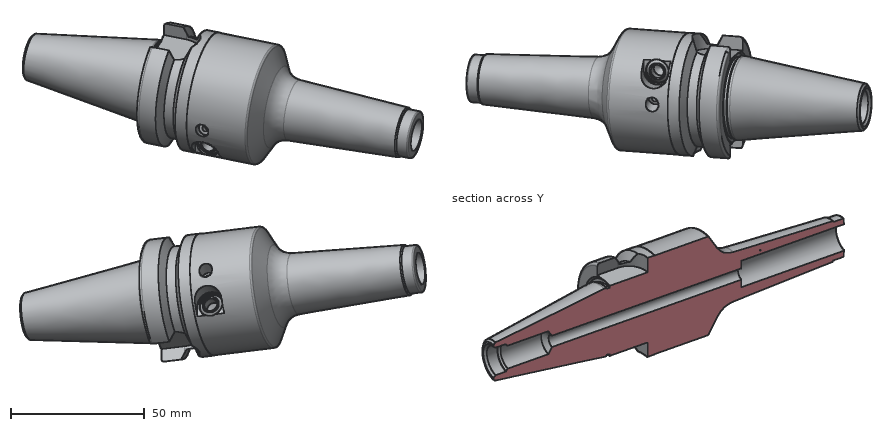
import cadquery as cq
import math


taper_length = 48.4
gauge_diameter = 31.75
taper_ratio = 7 / 24
shank_end_x = -taper_length
shank_end_radius = (gauge_diameter - taper_ratio * taper_length) / 2
shank_end_chamfer = 0.8

neck_start_x = 0.9
neck_radius = 30.8 / 2

flange_face_x = 2.0
relief_depth = 0.4
relief_floor_radius = 16.7
relief_rim_radius = 17.5
flange_rear_x = 22.0
flange_radius = 46.0 / 2
flange_round = 1.0
groove_centre_x = 13.6
groove_half_width = 3.9
groove_floor_radius = 38.8 / 2
groove_flank_angle = 30.0
groove_flank_run = (flange_radius - groove_floor_radius) * math.tan(math.radians(groove_flank_angle))

key_width = 16.1
key_floor_height = 16.3
key_end_x = 18.9

body_radius = 45.8 / 2
body_end_x = 45.6
body_round = 0.9
cone_angle = 60.0
nose_fillet = 8.0
nose_root_radius = 11.8
nose_end_x = 99.8
nose_end_radius = 9.55
tip_end_x = 105.0
tip_radius = 18.0 / 2
tip_crown = 0.25
tip_round = 0.6

stud_bore_diameter = 12.5
stud_bore_mouth_diameter = 14.4
stud_bore_depth = 5.5
thread_mouth_diameter = 12.0
thread_diameter = 10.4
thread_depth = 24.0
through_diameter = 5.0
clamp_diameter = 12.0
clamp_depth = 45.0
drill_point_half_angle = 59.0

side_features_x = 28.1
pocket_diameter = 10.4
pocket_offset = 12.2
pocket_floor = 16.0
screw_diameter = 9.0
screw_face_diameter = 6.4
socket_diameter = 5.0
socket_depth = 4.0
bleed_diameter = 5.0
bleed_offset = 1.0
bleed_depth = 4.0
bleed_tilt = 20.0
bleed_core_diameter = 2.31
bleed_core_depth = 3.0


def point_length(diameter):
    """Length of a drill point of the given diameter."""
    return diameter / 2 / math.tan(math.radians(drill_point_half_angle))


def turned(points):
    """Solid of revolution about X from a closed polyline of (x, radius) points."""
    return cq.Workplane("XY").polyline(points).close().revolve(360, (0, 0, 0), (1, 0, 0))


def ring_at(x):
    """Selector for the circular edges centred on the part axis near x."""
    reach = 0.3
    return cq.selectors.BoxSelector((x - reach, -reach, -reach), (x + reach, reach, reach))


def shank_and_flange():
    groove_front_x = groove_centre_x - groove_half_width
    groove_rear_x = groove_centre_x + groove_half_width
    neck_step = gauge_diameter / 2 - neck_radius
    profile = (
        cq.Workplane("XY")
        .moveTo(shank_end_x, 0)
        .lineTo(shank_end_x, shank_end_radius - shank_end_chamfer)
        .lineTo(shank_end_x + shank_end_chamfer, shank_end_radius + shank_end_chamfer * taper_ratio / 2)
        .lineTo(0, gauge_diameter / 2)
        .lineTo(neck_start_x, gauge_diameter / 2)
        .lineTo(neck_start_x + neck_step, neck_radius)
        .lineTo(flange_face_x + relief_depth, neck_radius)
        .lineTo(flange_face_x + relief_depth, relief_floor_radius)
        .lineTo(flange_face_x, relief_rim_radius)
        .lineTo(flange_face_x, flange_radius - flange_round)
        .radiusArc((flange_face_x + flange_round, flange_radius), flange_round)
        .lineTo(groove_front_x, flange_radius)
        .lineTo(groove_front_x + groove_flank_run, groove_floor_radius)
        .lineTo(groove_rear_x - groove_flank_run, groove_floor_radius)
        .lineTo(groove_rear_x, flange_radius)
        .lineTo(flange_rear_x, flange_radius)
        .lineTo(flange_rear_x, 0)
        .close()
    )
    return profile.revolve(360, (0, 0, 0), (1, 0, 0))


def body_and_nose():
    root_x = body_end_x + (body_radius - nose_root_radius) / math.tan(math.radians(cone_angle))
    rim_x = tip_end_x - tip_crown
    body = turned([
        (flange_rear_x, 0),
        (flange_rear_x, body_radius),
        (body_end_x, body_radius),
        (root_x, nose_root_radius),
        (nose_end_x, nose_end_radius),
        (nose_end_x + nose_end_radius - tip_radius, tip_radius),
        (rim_x, tip_radius),
        (tip_end_x, clamp_diameter / 2),
        (tip_end_x, 0),
    ])
    for corner_x, radius in ((root_x, nose_fillet), (body_end_x, body_round), (rim_x, tip_round)):
        body = body.edges(ring_at(corner_x)).fillet(radius)
    return body


def key_slot():
    """Cutter for the upper drive slot, with a full-radius end."""
    end_centre_x = key_end_x - key_width / 2
    height = flange_radius
    straight = cq.Workplane("XY").box(end_centre_x, key_width, height, centered=(False, True, False))
    end = cq.Workplane("XY").center(end_centre_x, 0).circle(key_width / 2).extrude(height)
    return straight.union(end).translate((0, 0, key_floor_height))


def axial_bores():
    mouth = (stud_bore_mouth_diameter - stud_bore_diameter) / 2
    thread_end_x = shank_end_x + thread_depth
    clamp_start_x = tip_end_x - clamp_depth
    thread_chamfer = (thread_mouth_diameter - thread_diameter) / 2
    stud_end_x = shank_end_x + stud_bore_depth
    return turned([
        (shank_end_x, 0),
        (shank_end_x, stud_bore_mouth_diameter / 2),
        (shank_end_x + mouth, stud_bore_diameter / 2),
        (stud_end_x, stud_bore_diameter / 2),
        (stud_end_x, thread_mouth_diameter / 2),
        (stud_end_x + thread_chamfer, thread_diameter / 2),
        (thread_end_x, thread_diameter / 2),
        (thread_end_x + point_length(thread_diameter) - point_length(through_diameter), through_diameter / 2),
        (clamp_start_x, through_diameter / 2),
        (clamp_start_x, clamp_diameter / 2),
        (tip_end_x, clamp_diameter / 2),
        (tip_end_x, 0),
    ])


def hole_from_front(offset, points):
    """Cutter along Y below the part axis, from (radius, distance in front of the axis) points."""
    profile = cq.Workplane("XY").polyline([(r, -distance) for r, distance in points]).close()
    return profile.revolve(360, (0, 0, 0), (0, 1, 0)).translate((side_features_x, 0, -offset))


def screw_pocket():
    """Cutter that leaves a chamfered socket screw standing in a flat-floored pocket."""
    chamfer_base = pocket_floor - (screw_diameter - screw_face_diameter) / 2
    bottom = pocket_floor - socket_depth
    screw_seat = hole_from_front(pocket_offset, [
        (0, flange_radius),
        (pocket_diameter / 2, flange_radius),
        (pocket_diameter / 2, pocket_floor),
        (screw_diameter / 2, pocket_floor),
        (screw_diameter / 2, chamfer_base),
        (screw_face_diameter / 2, pocket_floor),
        (socket_diameter / 2, pocket_floor),
        (socket_diameter / 2, bottom),
        (0, bottom - point_length(socket_diameter)),
    ])
    open_depth = flange_radius - pocket_floor
    open_height = flange_radius - pocket_offset
    open_side = cq.Workplane("XY").box(
        pocket_diameter, open_depth, open_height, centered=(True, False, False)
    )
    return screw_seat.union(open_side.translate((side_features_x, -flange_radius, -flange_radius)))


def bleed_hole():
    """Cutter for a stepped hole, tilted about its mouth."""
    floor = body_radius - bleed_depth
    bottom = floor - bleed_core_depth
    start = flange_radius + bleed_diameter
    hole = hole_from_front(bleed_offset, [
        (0, start),
        (bleed_diameter / 2, start),
        (bleed_diameter / 2, floor),
        (bleed_core_diameter / 2, floor),
        (bleed_core_diameter / 2, bottom),
        (0, bottom - point_length(bleed_core_diameter)),
    ])
    tilt_axis_start = (0, -body_radius, -bleed_offset)
    tilt_axis_end = (side_features_x, -body_radius, -bleed_offset)
    return hole.rotate(tilt_axis_start, tilt_axis_end, -bleed_tilt)


result = shank_and_flange().union(body_and_nose()).cut(axial_bores())

for cutter in (key_slot(), screw_pocket(), bleed_hole()):
    for angle in (0, 180):
        result = result.cut(cutter.rotate((0, 0, 0), (1, 0, 0), angle))